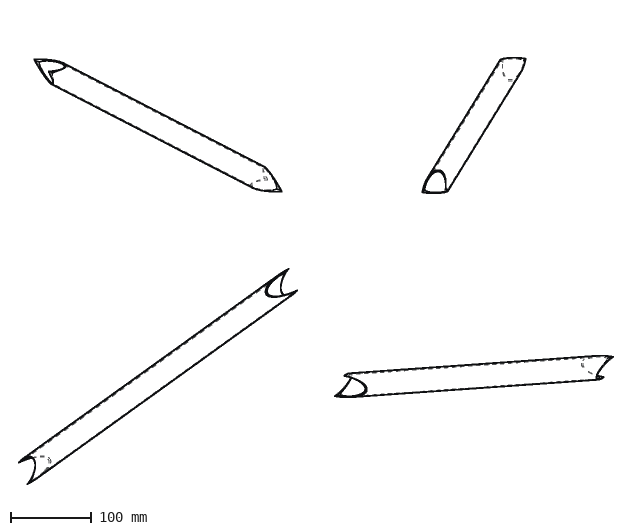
import cadquery as cq

tube_diameter = 30.0
wall = 1.5
span = 360.0

tube_radius = tube_diameter / 2
half_span = span / 2
lower_end = cq.Vector(0, half_span, -half_span)
upper_end = cq.Vector(0, -half_span, half_span)
along_y = cq.Vector(0, 1, 0)
along_z = cq.Vector(0, 0, 1)


def cylinder(radius, start, end):
    """Solid cylinder of the given radius running from start to end."""
    axis = end - start
    return cq.Workplane(cq.Solid.makeCylinder(radius, axis.Length, start, axis))


def diagonal_tube():
    """Straight tube between the two end points, before coping."""
    outside = cylinder(tube_radius, lower_end, upper_end)
    bore = cylinder(tube_radius - wall, lower_end, upper_end)
    return outside.cut(bore)


def seated_tube(end_point, direction):
    """Neighbouring tube, centred on an end point, whose outside shapes the cope."""
    reach = direction * half_span
    return cylinder(tube_radius, end_point - reach, end_point + reach)


result = diagonal_tube()
for end_point in (lower_end, upper_end):
    for direction in (along_y, along_z):
        result = result.cut(seated_tube(end_point, direction))